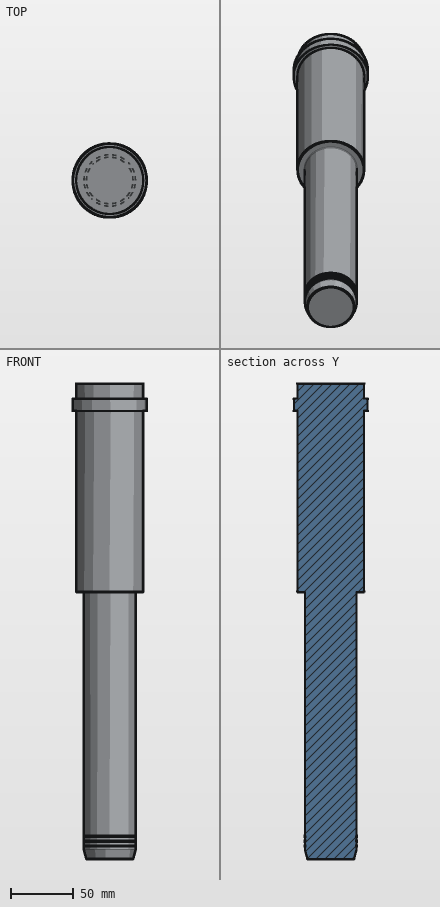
import cadquery as cq

total_length = 383.0
sleeve_bottom = 215.0
flange_bottom = 361.0
flange_thickness = 10.0
flange_top = flange_bottom + flange_thickness

flange_radius = 60.0 / 2
sleeve_radius = 54.0 / 2
pillar_radius = 42.0 / 2
tip_radius = 38.0 / 2

chamfer = 0.5
root_fillet = 0.5

taper_top = 8.0

groove_count = 3
first_groove_height = 10.8
groove_pitch = 3.85
groove_depth = 0.5
groove_half_width = 0.5


def add_tip(outline):
    """Chamfered end face and lead-in taper."""
    return (
        outline.lineTo(tip_radius - chamfer, 0)
        .lineTo(tip_radius, chamfer)
        .lineTo(pillar_radius, taper_top)
    )


def add_groove(outline, height):
    """One V groove around the pillar, deepest at the given height."""
    return (
        outline.lineTo(pillar_radius, height - groove_half_width)
        .lineTo(pillar_radius - groove_depth, height)
        .lineTo(pillar_radius, height + groove_half_width)
    )


def add_sleeve(outline):
    """Step from the pillar to the sleeve: root fillet inside, chamfer outside."""
    return (
        outline.lineTo(pillar_radius, sleeve_bottom - root_fillet)
        .radiusArc((pillar_radius + root_fillet, sleeve_bottom), root_fillet)
        .lineTo(sleeve_radius - chamfer, sleeve_bottom)
        .lineTo(sleeve_radius, sleeve_bottom + chamfer)
        .lineTo(sleeve_radius, flange_bottom)
    )


def add_flange(outline):
    """Flange with a chamfered upper rim and a root fillet up to the cap."""
    return (
        outline.lineTo(flange_radius, flange_bottom)
        .lineTo(flange_radius, flange_top - chamfer)
        .lineTo(flange_radius - chamfer, flange_top)
        .lineTo(sleeve_radius + root_fillet, flange_top)
        .radiusArc((sleeve_radius, flange_top + root_fillet), root_fillet)
    )


def add_cap(outline):
    """Plain cylinder above the flange, closed back along the axis."""
    return outline.lineTo(sleeve_radius, total_length).lineTo(0, total_length).close()


profile = add_tip(cq.Workplane("XZ"))
for index in range(groove_count):
    profile = add_groove(profile, first_groove_height + index * groove_pitch)
profile = add_sleeve(profile)
profile = add_flange(profile)
profile = add_cap(profile)

result = profile.revolve(360, (0, 0, 0), (0, 1, 0))